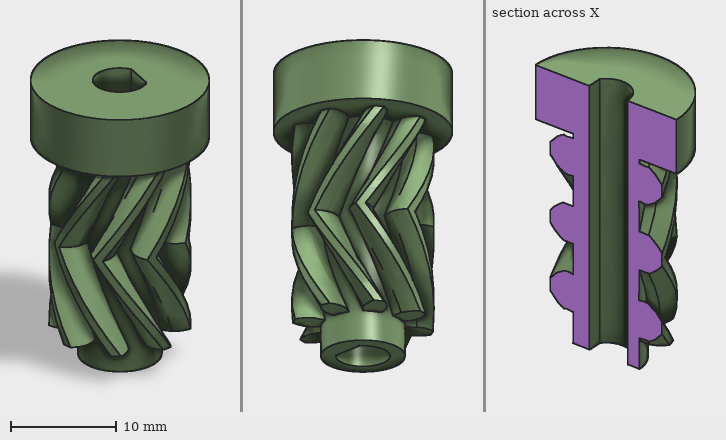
import cadquery as cq
import math

hub_diameter = 8.0
hub_height = 3.0
head_diameter = 17.0
head_height = 6.0

tooth_count = 8
half_height = 9.99
half_twist = 60.0
tip_radius = 6.75
base_radius = 5.13
root_radius = hub_diameter / 2
base_half_angle = math.radians(12.6)

bore_diameter = 5.15
bore_flat_offset = 2.0

middle_z = hub_height + half_height
head_z = middle_z + half_height
total_height = head_z + head_height


def polar(radius, angle):
    return (radius * math.cos(angle), radius * math.sin(angle))


def involute_angle(radius):
    """Angle the involute has swept from the base circle out to a radius."""
    roll = math.sqrt((radius / base_radius) ** 2 - 1)
    return roll - math.atan(roll)


def flank_point(radius, center_angle, side):
    """Point on a tooth flank; side is -1 or +1 about the tooth centre."""
    half_angle = base_half_angle - involute_angle(radius)
    return polar(radius, center_angle + side * half_angle)


def gear_profile():
    """Teeth with involute flanks, radial flanks below the base circle, and arcs at tip and root."""
    pitch_angle = 2 * math.pi / tooth_count
    middle_radius = (base_radius + tip_radius) / 2
    profile = cq.Workplane("XY", origin=(0, 0, middle_z)).moveTo(*polar(root_radius, -base_half_angle))
    for tooth in range(tooth_count):
        center = tooth * pitch_angle
        next_center = center + pitch_angle
        profile = (
            profile.lineTo(*flank_point(base_radius, center, -1))
            .threePointArc(flank_point(middle_radius, center, -1), flank_point(tip_radius, center, -1))
            .threePointArc(polar(tip_radius, center), flank_point(tip_radius, center, 1))
            .threePointArc(flank_point(middle_radius, center, 1), flank_point(base_radius, center, 1))
            .lineTo(*polar(root_radius, center + base_half_angle))
            .threePointArc(
                polar(root_radius, center + pitch_angle / 2),
                polar(root_radius, next_center - base_half_angle),
            )
        )
    return profile.close()


def herringbone_gear():
    upper_half = gear_profile().twistExtrude(half_height, half_twist)
    lower_half = upper_half.mirror("XY", (0, 0, middle_z))
    return upper_half.union(lower_half)


def cylinder(diameter, bottom_z, height):
    return cq.Workplane("XY", origin=(0, 0, bottom_z)).circle(diameter / 2).extrude(height)


def d_bore():
    round_bore = cylinder(bore_diameter, 0, total_height)
    flat_side = cq.Workplane("XY").box(
        bore_diameter,
        bore_diameter / 2 + bore_flat_offset,
        total_height,
        centered=(True, False, False),
    )
    return round_bore.intersect(flat_side.translate((0, -bore_diameter / 2, 0)))


hub = cylinder(hub_diameter, 0, hub_height)
head = cylinder(head_diameter, head_z, head_height)

result = herringbone_gear().union(hub).union(head).cut(d_bore())